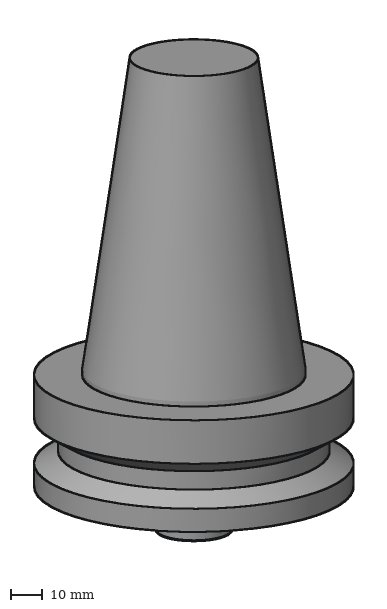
import cadquery as cq

flange_radius = 100.0 / 2
groove_radius = 85.0 / 2
flange_bottom = 14.5
lower_rim_top = 22.0
groove_floor_bottom = 26.0
groove_floor_top = 32.1
upper_rim_bottom = 36.7
flange_top = 50.9

total_height = 154.3
taper_length = 101.8
taper_ratio = 7 / 24
collar_radius = 69.9 / 2
taper_base = total_height - taper_length
taper_tip_radius = collar_radius - taper_length * taper_ratio / 2

nose_radius = 24.0 / 2
nose_chamfer = 0.5
nose_cone_radius = 16.8
nose_cone_bottom = 9.5

profile = [
    (0, 0),
    (nose_radius - nose_chamfer, 0),
    (nose_radius, nose_chamfer),
    (nose_radius, nose_cone_bottom),
    (nose_cone_radius, flange_bottom),
    (flange_radius, flange_bottom),
    (flange_radius, lower_rim_top),
    (groove_radius, groove_floor_bottom),
    (groove_radius, groove_floor_top),
    (flange_radius, upper_rim_bottom),
    (flange_radius, flange_top),
    (collar_radius, flange_top),
    (collar_radius, taper_base),
    (taper_tip_radius, total_height),
    (0, total_height),
]

result = cq.Workplane("XZ").polyline(profile).close().revolve(360, (0, 0), (0, 1))